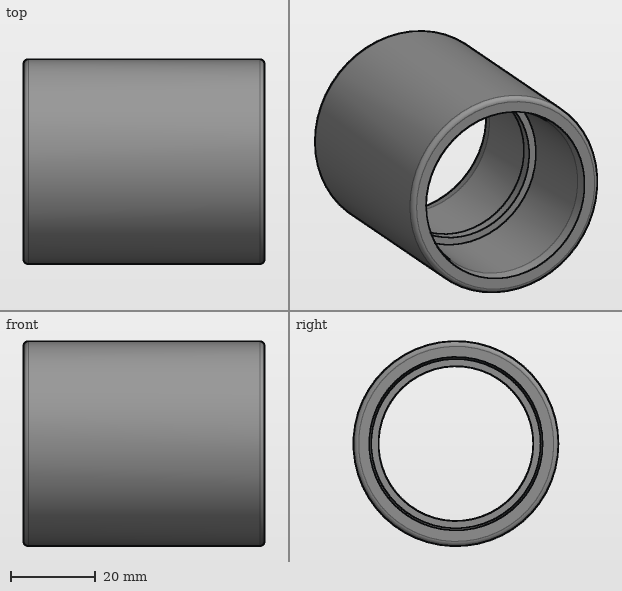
import cadquery as cq

length = 57.0
outer_diameter = 48.5
lip_diameter = 36.5
socket_diameter = 40.0
mouth_diameter = 41.0
lead_in_length = 3.0
lip_width = 3.0
rim_radius = 1.2

end_x = length / 2
socket_depth = (length - lip_width) / 2


def make_sleeve():
    """Plain round bar with rounded end edges, bored to the lip diameter."""
    bar = cq.Workplane("YZ", origin=(-end_x, 0, 0)).circle(outer_diameter / 2).extrude(length)
    rounded = bar.faces("<X or >X").edges().fillet(rim_radius)
    bore = cq.Workplane("YZ", origin=(-end_x, 0, 0)).circle(lip_diameter / 2).extrude(length)
    return rounded.cut(bore)


def make_socket():
    """Solid filling the -X socket: a tapered lead-in, then a straight bore."""
    floor_x = -end_x + socket_depth
    half_profile = (
        cq.Workplane("XY")
        .moveTo(-end_x, 0)
        .lineTo(-end_x, mouth_diameter / 2)
        .lineTo(-end_x + lead_in_length, socket_diameter / 2)
        .lineTo(floor_x, socket_diameter / 2)
        .lineTo(floor_x, 0)
        .close()
    )
    return half_profile.revolve(360, (0, 0, 0), (1, 0, 0))


socket = make_socket()
result = make_sleeve().cut(socket).cut(socket.mirror("YZ"))